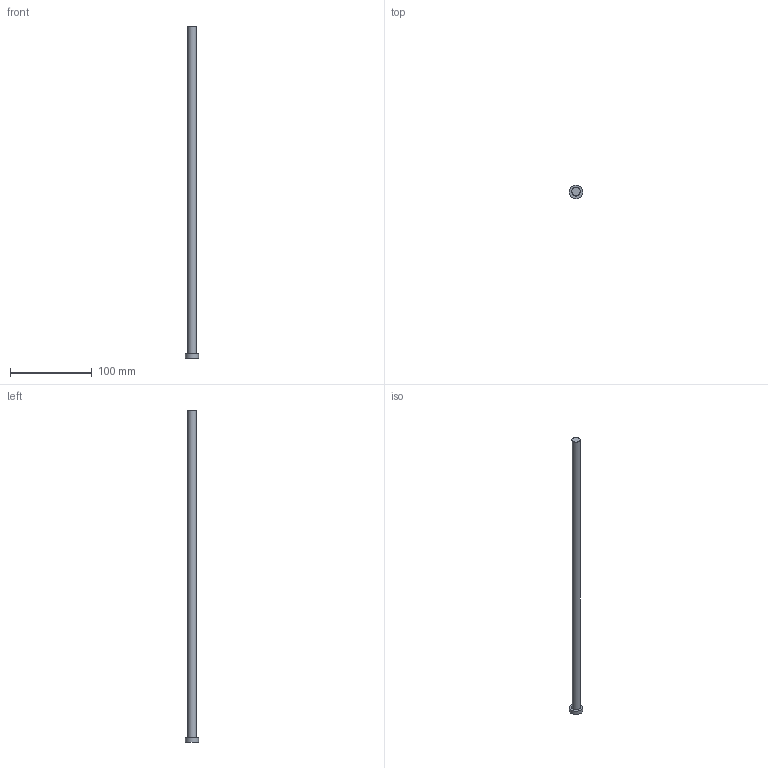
import cadquery as cq

shank_length = 400.0
shank_diameter = 10.2
head_diameter = 16.0
head_thickness = 5.0

head = cq.Workplane("XY").circle(head_diameter / 2).extrude(head_thickness)
shank = head.faces(">Z").workplane().circle(shank_diameter / 2).extrude(shank_length, combine=False)

result = head.union(shank)